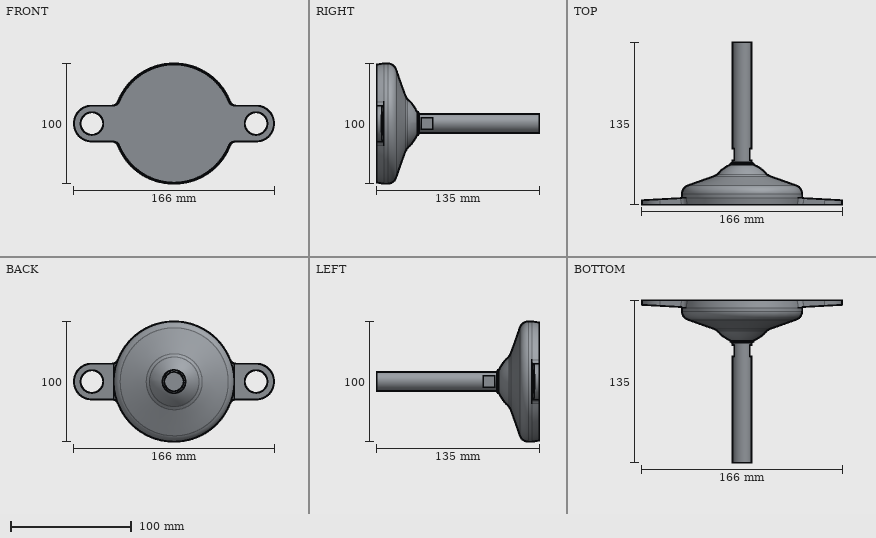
import cadquery as cq
import math

rim_radius = 50.0
floor_radius = 49.0
taper_height = 6.1
rim_top = 9.1
shoulder_radius = 44.8
shoulder_height = 16.3
shoulder_mid_radius = 48.5
shoulder_mid_height = 13.6
neck_radius = 23.2
neck_height = 23.9
dome_foot_radius = 20.6
dome_foot_height = 25.4
dome_mid_radius = 15.8
dome_mid_height = 30.0
dome_top_radius = 9.6
dome_top_height = 33.5

overall_length = 166.0
lug_radius = 15.0
lug_hole_radius = 9.3
lug_center = overall_length / 2 - lug_radius
lug_root_thickness = 5.8
lug_tip_thickness = 4.0
lug_fillet = 5.0

overall_height = 135.0
stem_radius = 8.0
collar_radius = dome_top_radius
collar_thickness = 0.8
collar_cone_height = 1.0
flat_offset = 6.5
flat_start = 37.2
flat_end = 46.6


def make_floor_plate():
    """Tapered floor disc with two lugs, blended where their sides meet."""
    taper_angle = math.degrees(math.atan2(rim_radius - floor_radius, taper_height))
    plate = (
        cq.Workplane("XZ")
        .circle(floor_radius)
        .extrude(-taper_height, taper=-taper_angle)
    )
    lugs = (
        cq.Workplane("XZ")
        .slot2D(overall_length, 2 * lug_radius)
        .extrude(-taper_height)
    )
    plate = plate.union(lugs)
    corner_box_half = lug_radius + lug_fillet / 2
    corner_x = math.sqrt(rim_radius ** 2 - lug_radius ** 2)
    corner_box = cq.selectors.BoxSelector(
        (-corner_x, 0, -corner_box_half), (corner_x, taper_height, corner_box_half)
    )
    plate = plate.edges(corner_box).edges("not #Y").fillet(lug_fillet)
    return plate.intersect(make_lug_envelope()).cut(make_lug_holes())


def make_lug_envelope():
    """Block with sloping tops that thins the lugs toward their tips."""
    tip_x = overall_length / 2
    return (
        cq.Workplane("XY")
        .moveTo(-tip_x, 0)
        .lineTo(tip_x, 0)
        .lineTo(tip_x, lug_tip_thickness)
        .lineTo(rim_radius, lug_root_thickness)
        .lineTo(rim_radius, taper_height)
        .lineTo(-rim_radius, taper_height)
        .lineTo(-rim_radius, lug_root_thickness)
        .lineTo(-tip_x, lug_tip_thickness)
        .close()
        .extrude(rim_radius, both=True)
    )


def make_lug_holes():
    """Cutters for the mounting hole in each lug."""
    return (
        cq.Workplane("XZ")
        .pushPoints([(-lug_center, 0), (lug_center, 0)])
        .circle(lug_hole_radius)
        .extrude(-taper_height)
    )


def make_cover():
    """Turned upper part: straight rim, rounded shoulder, conical top and central dome."""
    profile = (
        cq.Workplane("XY")
        .moveTo(0, taper_height)
        .lineTo(rim_radius, taper_height)
        .lineTo(rim_radius, rim_top)
        .threePointArc((shoulder_mid_radius, shoulder_mid_height), (shoulder_radius, shoulder_height))
        .lineTo(neck_radius, neck_height)
        .lineTo(dome_foot_radius, dome_foot_height)
        .threePointArc((dome_mid_radius, dome_mid_height), (dome_top_radius, dome_top_height))
        .lineTo(0, dome_top_height)
        .close()
    )
    return profile.revolve(360, (0, 0, 0), (0, 1, 0))


def make_base():
    """Complete foot: floor plate with lugs, and the turned cover above it."""
    return make_floor_plate().union(make_cover())


def make_stem():
    """Round stem standing on the dome, with a foot collar and two wrench flats."""
    collar_top = dome_top_height + collar_thickness
    stem = (
        cq.Workplane("XY")
        .moveTo(0, dome_top_height)
        .lineTo(collar_radius, dome_top_height)
        .lineTo(collar_radius, collar_top)
        .lineTo(stem_radius, collar_top + collar_cone_height)
        .lineTo(stem_radius, overall_height)
        .lineTo(0, overall_height)
        .close()
        .revolve(360, (0, 0, 0), (0, 1, 0))
    )
    flat_middle = (flat_start + flat_end) / 2
    for side in (-1, 1):
        cutter = cq.Workplane("XY").box(2 * stem_radius, flat_end - flat_start, 2 * stem_radius)
        stem = stem.cut(cutter.translate((side * (flat_offset + stem_radius), flat_middle, 0)))
    return stem


base = make_base()
stem = make_stem()
result = cq.Compound.makeCompound([base.val(), stem.val()])